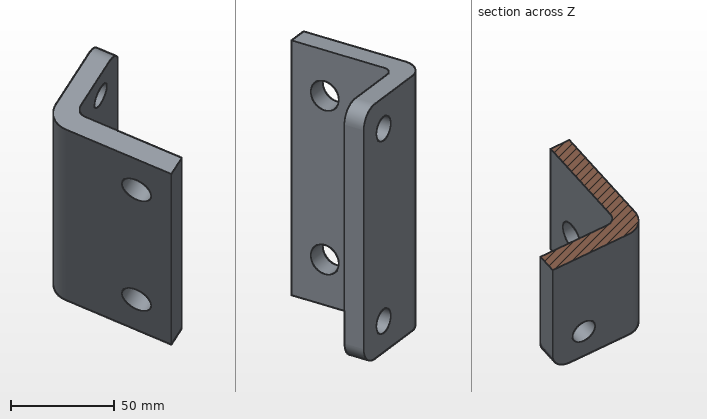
import cadquery as cq

height = 140.0
wide_leg = 69.0
short_leg = 55.0
thickness = 11.0

outer_bend_radius = 11.0
inner_bend_radius = 5.0
corner_radius = 10.0

wide_hole_diameter = 16.0
wide_hole_x = 50.0
wide_hole_spacing = 89.9

short_hole_diameter = 13.0
short_hole_edge_distance = 18.0
short_hole_spacing = 105.7


def bent_plate():
    """L-shaped plate with a rounded bend along Z at the origin corner."""
    plate = (
        cq.Workplane("XY")
        .polyline([
            (0, 0),
            (wide_leg, 0),
            (wide_leg, thickness),
            (thickness, thickness),
            (thickness, short_leg),
            (0, short_leg),
        ])
        .close()
        .extrude(height)
    )
    bend_middle = height / 2
    plate = plate.edges(cq.NearestToPointSelector((0, 0, bend_middle))).fillet(outer_bend_radius)
    inner_corner = (thickness, thickness, bend_middle)
    return plate.edges(cq.NearestToPointSelector(inner_corner)).fillet(inner_bend_radius)


def hole_pair_heights(spacing):
    """Heights of two holes placed symmetrically about mid-height."""
    return [(height - spacing) / 2, (height + spacing) / 2]


def wide_leg_holes():
    centres = [(wide_hole_x, z) for z in hole_pair_heights(wide_hole_spacing)]
    return cq.Workplane("XZ").pushPoints(centres).circle(wide_hole_diameter / 2).extrude(-thickness)


def short_leg_holes():
    hole_y = short_leg - short_hole_edge_distance
    centres = [(hole_y, z) for z in hole_pair_heights(short_hole_spacing)]
    return cq.Workplane("YZ").pushPoints(centres).circle(short_hole_diameter / 2).extrude(thickness)


bracket = bent_plate().faces(">Y").edges("|X").fillet(corner_radius)
result = bracket.cut(wide_leg_holes()).cut(short_leg_holes())